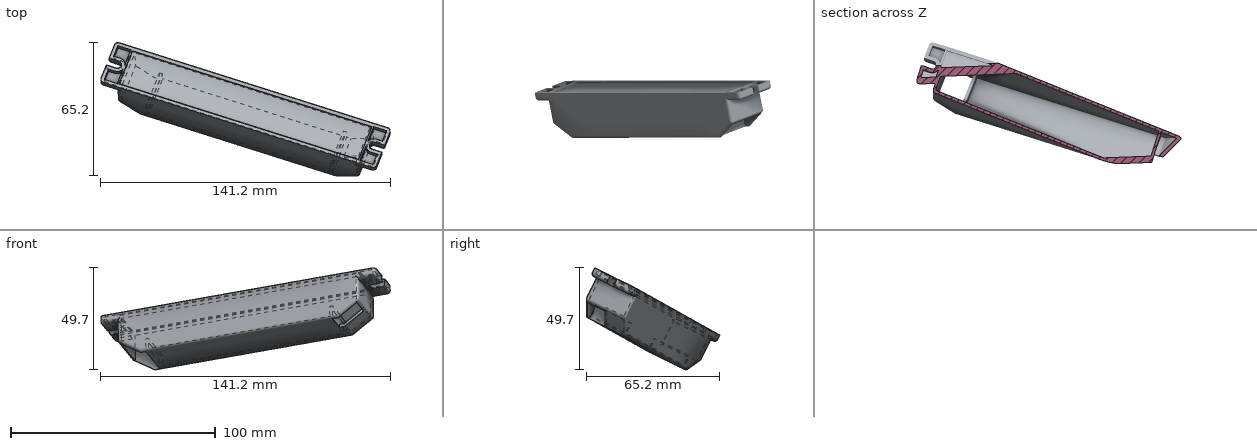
import cadquery as cq

flange_length = 143.0
width = 23.0
flange_thickness = 4.0
flange_corner_radius = 1.9
edge_radius = 1.5

body_length = 125.0
body_depth = 23.0
bottom_length = 102.5
end_wall_depth = 15.5

wall = 1.5
lid_thickness = 2.0

lid_recess_length = 124.25
lid_recess_width = 19.0
lid_recess_depth = 0.5

tab_rim = 1.75
tab_pocket_start = 63.0
tab_pocket_depth = 2.5
slot_width = 4.0
slot_centre = 66.5

opening_start = 48.5
partition_thickness = 1.5
partition_height = 7.0

turn_x = -24.9
turn_y = -9.573
turn_z = -17.563


def box(x_range, y_range, z_range):
    """Axis-aligned box given by its limits along each axis."""
    size = [high - low for low, high in (x_range, y_range, z_range)]
    low_corner = (x_range[0], y_range[0], z_range[0])
    return cq.Workplane("XY").box(*size, centered=False).translate(low_corner)


def trapezoid_prism(offset, top_z, prism_width):
    """Body shape, drawn in by `offset` from its ends, slopes and bottom."""
    half_top = body_length / 2 - offset
    slope_run = (body_length - bottom_length) / 2
    slope_rise = body_depth - end_wall_depth
    slope_length = (slope_run**2 + slope_rise**2) ** 0.5
    slope_lift = offset * slope_length / slope_run
    slope = slope_rise / slope_run
    upper_z = -end_wall_depth + slope_lift - offset * slope
    lower_z = -body_depth + offset
    half_bottom = half_top - (upper_z - lower_z) / slope
    return (
        cq.Workplane("XZ")
        .polyline(
            [
                (-half_top, top_z),
                (half_top, top_z),
                (half_top, upper_z),
                (half_bottom, lower_z),
                (-half_bottom, lower_z),
                (-half_top, upper_z),
            ]
        )
        .close()
        .extrude(prism_width / 2, both=True)
    )


def make_flange():
    plate = box(
        (-flange_length / 2, flange_length / 2),
        (-width / 2, width / 2),
        (-flange_thickness, 0),
    )
    plate = plate.edges("|Z").fillet(flange_corner_radius)
    return plate.faces("<Z").edges().fillet(edge_radius)


def make_body():
    body = trapezoid_prism(0, 0, width)
    return body.edges("not >Z").fillet(edge_radius)


def make_cavity():
    ceiling = -lid_recess_depth - lid_thickness
    return trapezoid_prism(wall, ceiling, width - 2 * wall)


def make_tab_pocket(side):
    """Pocket in one tab, leaving a rim around its edge and around the slot."""
    x_limits = sorted((side * tab_pocket_start, side * (flange_length / 2 - tab_rim)))
    half_width = width / 2 - tab_rim
    pocket = box(x_limits, (-half_width, half_width), (-tab_pocket_depth, 0))
    return pocket.cut(make_slot(side, slot_width + 2 * tab_rim))


def make_slot(side, across):
    """Round-ended slot, open at the outer end of a tab."""
    centre_x = side * slot_centre
    round_end = cq.Workplane("XY").center(centre_x, 0).circle(across / 2).extrude(-flange_thickness)
    x_limits = sorted((centre_x, side * flange_length / 2))
    return round_end.union(box(x_limits, (-across / 2, across / 2), (-flange_thickness, 0)))


def make_opening(side, y_range):
    """Cutter from the partition to the end wall, reaching above the slope into the cavity."""
    x_limits = sorted((side * opening_start, side * (body_length / 2 - wall)))
    return box(x_limits, y_range, (-body_depth, -end_wall_depth + wall))


def make_partition(side):
    """Upright wall across the cavity floor, flush with the inner end of an opening."""
    x_limits = sorted((side * opening_start, side * (opening_start - partition_thickness)))
    inner_half_width = width / 2 - wall
    z_limits = (-body_depth + wall, -body_depth + partition_height)
    return box(x_limits, (-inner_half_width, inner_half_width), z_limits)


housing = make_flange().union(make_body()).cut(make_cavity())

lid_recess = box(
    (-lid_recess_length / 2, lid_recess_length / 2),
    (-lid_recess_width / 2, lid_recess_width / 2),
    (-lid_recess_depth, 0),
)
housing = housing.cut(lid_recess)

for end in (-1, 1):
    housing = housing.cut(make_tab_pocket(end)).cut(make_slot(end, slot_width))
    housing = housing.union(make_partition(end))

inner_front = -(width / 2 - wall)
housing = housing.cut(make_opening(-1, (inner_front, -inner_front)))
housing = housing.cut(make_opening(1, (inner_front, 0)))

origin = (0, 0, 0)
result = (
    housing.rotate(origin, (1, 0, 0), turn_x)
    .rotate(origin, (0, 1, 0), turn_y)
    .rotate(origin, (0, 0, 1), turn_z)
)